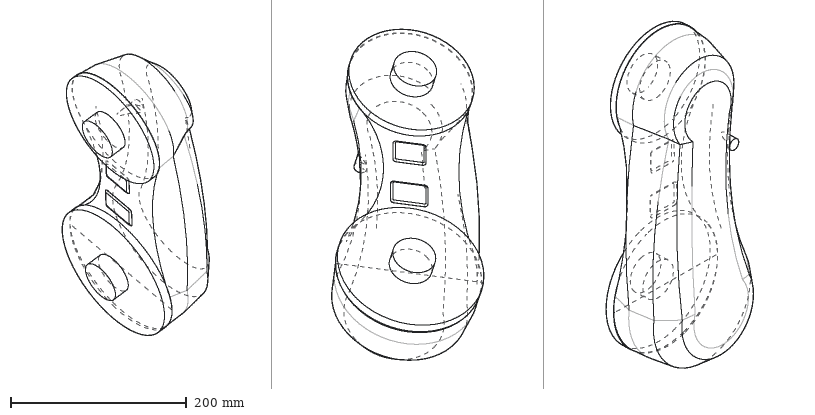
import cadquery as cq
import math

JOINT_SPACING = 270.0
LOWER_DISC_RADIUS = 85.25
UPPER_DISC_RADIUS = 73.0

LOWER_FACE_Y = 0.0
UPPER_FACE_Y = -5.0
SHAFT_RADIUS = 25.0
SHAFT_LENGTH = 20.0

FRONT_LOWER_Y = 12.0
FRONT_UPPER_Y = 4.0

FLANGE_STEP = 0.5

TRIM_BLOCK_SIZE = 4 * JOINT_SPACING

PADS = [
    (171.5, 38.5, 29.8),
    (113.0, 43.5, 31.0),
]
PAD_THICKNESS = 2.0
PAD_CORNER_RADIUS = 4.0
PAD_BEVEL_WIDTH = 2.6
PAD_BEVEL_DEPTH = 1.8

PEG_RADIUS = 7.5
PEG_X = -42.0
PEG_Z = 201.5
PEG_FRONT_Y = 45.0
PEG_BACK_Y = 80.0

FRONT_LOBE_LOWER_RADIUS = LOWER_DISC_RADIUS - FLANGE_STEP
FRONT_LOBE_UPPER_RADIUS = UPPER_DISC_RADIUS - FLANGE_STEP
FRONT_WAIST_LEFT_X = -30.0
FRONT_WAIST_RIGHT = [(71.5, 258), (57.5, 155), (82, 21.5)]

WIDEST = dict(
    lower_y=36.5, upper_y=28.0,
    bottom=-82.0, top=JOINT_SPACING + 70.0,
    left=[(-76.5, 30), (-51, 150), (-67, 250)],
    right=[(69.5, 257), (86.6, 115), (84.5, 15)],
)
SHOULDER = dict(
    lower_y=71.5, upper_y=64.0,
    bottom=-78.0, top=JOINT_SPACING + 59.0,
    left=[(-71.5, 31), (-45, 150), (-55, 253)],
    right=[(49, 245), (76, 125), (80, 15)],
)
RIM = dict(
    lower_y=94.9, upper_y=75.5,
    bottom=-57.5, top=JOINT_SPACING + 48.0,
    left=[(-53, 25), (-32, 150), (-42, 253)],
    right=[(44, 242), (58, 120), (57, 15)],
)
CROWN = dict(
    lower_y=96.5, upper_y=83.0,
    bottom=-45.0, top=JOINT_SPACING + 37.0,
    left=[(-40, 25), (-20, 150), (-30, 253)],
    right=[(30, 242), (38, 120), (38, 15)],
)

WAIST_START = 53.0
WAIST_END = 227.0
LEFT_LOWER_END = WIDEST["left"][0][1]
LEFT_UPPER_END = WIDEST["left"][2][1]


def leaning_plane(lower_y, upper_y):
    """Plane with +X across, local y up the housing, and its normal towards -Y."""
    lean = math.atan2(lower_y - upper_y, JOINT_SPACING)
    normal = (0, -math.cos(lean), -math.sin(lean))
    return cq.Plane(origin=(0, lower_y, 0), xDir=(1, 0, 0), normal=normal)


def outline(lower_y, upper_y, bottom, top, left, right):
    """Closed outline; `left` may chain several arcs that share their end points."""
    right_high, right_mid, right_low = right
    path = cq.Workplane(leaning_plane(lower_y, upper_y)).moveTo(*left[0])
    for mid, end in zip(left[1::2], left[2::2]):
        path = path.threePointArc(mid, end)
    return (
        path.threePointArc((0, top), right_high)
        .threePointArc(right_mid, right_low)
        .threePointArc((0, bottom), left[0])
        .close()
        .val()
    )


def lobe_left_point(radius, center_height, height):
    return (-math.sqrt(radius**2 - (height - center_height) ** 2), height)


def waist_left_point(arc, height):
    """Point at the given height on the circle through the three points of a left waist arc."""
    (x1, z1), (x2, z2), (x3, z3) = arc
    sq1 = x1**2 + z1**2
    sq2 = x2**2 + z2**2
    sq3 = x3**2 + z3**2
    det = 2 * (x1 * (z2 - z3) + x2 * (z3 - z1) + x3 * (z1 - z2))
    center_x = (sq1 * (z2 - z3) + sq2 * (z3 - z1) + sq3 * (z1 - z2)) / det
    center_z = (sq1 * (x3 - x2) + sq2 * (x1 - x3) + sq3 * (x2 - x1)) / det
    radius = math.hypot(x2 - center_x, z2 - center_z)
    return (center_x + math.sqrt(radius**2 - (height - center_z) ** 2), height)


def front_part():
    """Housing from the front face to the widest outline, with the left flank in three faces."""
    low_mid = (LEFT_LOWER_END + WAIST_START) / 2
    waist_mid = (WAIST_START + WAIST_END) / 2
    high_mid = (WAIST_END + LEFT_UPPER_END) / 2

    low_heights = (LEFT_LOWER_END, low_mid, WAIST_START)
    high_heights = (WAIST_END, high_mid, LEFT_UPPER_END)
    front_left = [lobe_left_point(FRONT_LOBE_LOWER_RADIUS, 0, h) for h in low_heights]
    front_left.append((FRONT_WAIST_LEFT_X, waist_mid))
    front_left += [lobe_left_point(FRONT_LOBE_UPPER_RADIUS, JOINT_SPACING, h) for h in high_heights]
    front = outline(
        FRONT_LOWER_Y,
        FRONT_UPPER_Y,
        -FRONT_LOBE_LOWER_RADIUS,
        JOINT_SPACING + FRONT_LOBE_UPPER_RADIUS,
        front_left,
        FRONT_WAIST_RIGHT,
    )

    split_heights = low_heights + (waist_mid,) + high_heights
    widest_left = [waist_left_point(WIDEST["left"], h) for h in split_heights]
    widest = outline(**{**WIDEST, "left": widest_left})
    return cq.Workplane(cq.Solid.makeLoft([front, widest], True))


def back_part():
    wires = [outline(**section) for section in (WIDEST, SHOULDER, RIM, CROWN)]
    return cq.Workplane(cq.Solid.makeLoft(wires, True))


def y_cylinder(radius, x, z, front_y, back_y):
    return (
        cq.Workplane("XZ", origin=(x, back_y, z))
        .circle(radius)
        .extrude(back_y - front_y)
    )


def joint(z, face_y, disc_radius):
    """Flange disc that ends on the leaning front face of the housing, with its shaft."""
    disc = y_cylinder(disc_radius, 0, z, face_y, FRONT_LOWER_Y)
    in_front_of_housing = (
        cq.Workplane(leaning_plane(FRONT_LOWER_Y, FRONT_UPPER_Y))
        .rect(TRIM_BLOCK_SIZE, TRIM_BLOCK_SIZE)
        .extrude(TRIM_BLOCK_SIZE)
    )
    shaft = y_cylinder(SHAFT_RADIUS, 0, z, face_y - SHAFT_LENGTH, face_y)
    return disc.intersect(in_front_of_housing).union(shaft)


def pad(z, width, height):
    outline_sketch = cq.Sketch().rect(width, height).vertices().fillet(PAD_CORNER_RADIUS)
    front = leaning_plane(FRONT_LOWER_Y, FRONT_UPPER_Y)
    return (
        cq.Workplane(front)
        .center(0, z)
        .placeSketch(outline_sketch)
        .extrude(PAD_THICKNESS)
        .faces(cq.selectors.DirectionMinMaxSelector(front.zDir))
        .chamfer(PAD_BEVEL_DEPTH, PAD_BEVEL_WIDTH)
    )


result = front_part().union(back_part())
result = result.union(joint(0, LOWER_FACE_Y, LOWER_DISC_RADIUS))
result = result.union(joint(JOINT_SPACING, UPPER_FACE_Y, UPPER_DISC_RADIUS))
for pad_z, pad_width, pad_height in PADS:
    result = result.union(pad(pad_z, pad_width, pad_height))
result = result.union(y_cylinder(PEG_RADIUS, PEG_X, PEG_Z, PEG_FRONT_Y, PEG_BACK_Y))